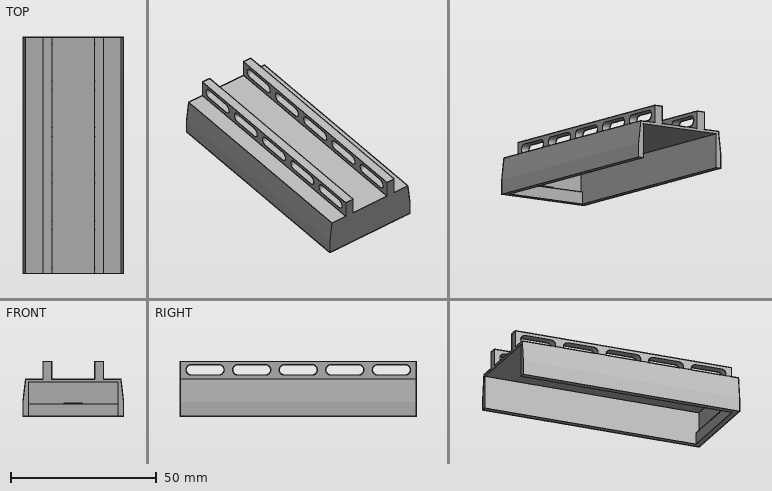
import cadquery as cq

length = 81.2
base_width = 34.7
top_width = 32.8
inner_width = 30.7
deck_top = 12.8
deck_thickness = 1.0
taper_start = 4.95
ceiling = deck_top - deck_thickness

total_height = 18.9
rib_thickness = 3.2
rib_spacing = 17.8
rib_height = total_height - deck_top
slot_count = 5
slot_pitch = 16.0
slot_length = 13.0
slot_height = 3.5
slot_center_z = 16.0

wall_thickness = 1.0
ledge_depth = 2.0
ledge_height = 4.2
tab_width = 6.4
tab_height = 0.3
tab_depth = 1.6


def block(width, depth, height, x, back_y, bottom_z):
    """Box centered on x, reaching forward from back_y and up from bottom_z."""
    return cq.Workplane("XY").box(width, depth, height, centered=(True, True, False)).translate(
        (x, back_y - depth / 2, bottom_z)
    )


def make_channel():
    """Tapered hood extruded along Y, with a rectangular passage."""
    outer = (
        cq.Workplane("XZ")
        .polyline([
            (-base_width / 2, 0),
            (base_width / 2, 0),
            (base_width / 2, taper_start),
            (top_width / 2, deck_top),
            (-top_width / 2, deck_top),
            (-base_width / 2, taper_start),
        ])
        .close()
        .extrude(length / 2, both=True)
    )
    return outer.cut(block(inner_width, length, ceiling, 0, length / 2, 0))


def make_rib(x):
    """Upright rib along the full length, pierced by a row of slots."""
    rib = block(rib_thickness, length, rib_height, x, length / 2, deck_top)
    slots = (
        cq.Workplane("YZ", origin=(x, 0, slot_center_z))
        .rarray(slot_pitch, 0.8, slot_count, 1)
        .slot2D(slot_length, slot_height)
        .extrude(rib_thickness, both=True)
    )
    return rib.cut(slots)


def make_end_wall():
    """Thin end wall with a thicker lower ledge and a low central tab on it."""
    wall = block(inner_width, wall_thickness, ceiling, 0, length / 2, 0)
    ledge = block(inner_width, ledge_depth, ledge_height, 0, length / 2, 0)
    tab = block(tab_width, tab_depth, tab_height, 0, length / 2, ledge_height)
    return wall.union(ledge).union(tab)


result = make_channel().union(make_end_wall())
for side in (-1, 1):
    result = result.union(make_rib(side * rib_spacing / 2))